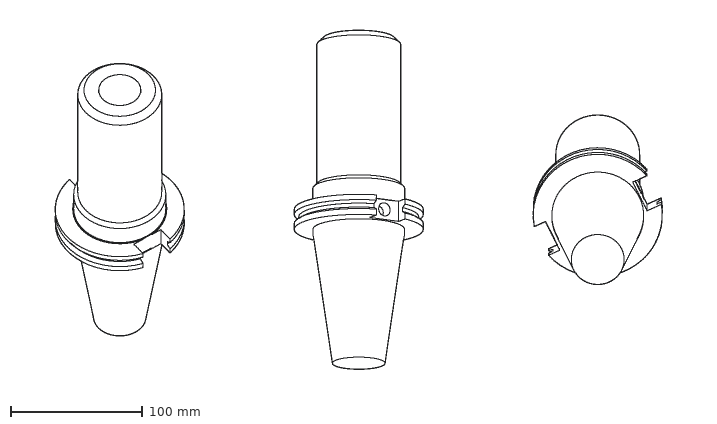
import cadquery as cq
import math

total_height = 254.0
gauge_height = 101.5
gauge_diameter = 69.8
gauge_radius = gauge_diameter / 2
taper_ratio = 7 / 24
taper_tip_radius = gauge_radius - gauge_height * taper_ratio / 2

flange_diameter = 98.3
flange_radius = flange_diameter / 2
flange_bottom = 104.6
flange_top = 120.5
groove_floor_radius = 45.7
groove_floor_bottom = 111.3
groove_floor_top = 114.3
groove_flank_angle = 30.0
groove_depth = flange_radius - groove_floor_radius
groove_flank_height = groove_depth * math.tan(math.radians(groove_flank_angle))

base_ring_radius = 35.8
base_ring_height = 0.5
collar_radius = 35.0
collar_top = 139.7
nose_radius = 32.0
collar_chamfer = collar_radius - nose_radius
nose_chamfer = 4.8

bore_radius = 16.0
bore_depth = 76.2

slot_width = 25.5
left_slot_floor = 38.0
right_slot_floor = 35.5
side_hole_radius = 5.0
side_hole_depth = 10.2
side_hole_height = (flange_bottom + flange_top) / 2


def turned_body():
    """Revolve the half outline (radius, height) about the Z axis."""
    outline = [
        (0, 0),
        (taper_tip_radius, 0),
        (gauge_radius, gauge_height),
        (gauge_radius, flange_bottom),
        (flange_radius, flange_bottom),
        (flange_radius, groove_floor_bottom - groove_flank_height),
        (groove_floor_radius, groove_floor_bottom),
        (groove_floor_radius, groove_floor_top),
        (flange_radius, groove_floor_top + groove_flank_height),
        (flange_radius, flange_top),
        (base_ring_radius, flange_top),
        (base_ring_radius, flange_top + base_ring_height),
        (collar_radius, flange_top + base_ring_height),
        (collar_radius, collar_top - collar_chamfer),
        (nose_radius, collar_top),
        (nose_radius, total_height - nose_chamfer),
        (nose_radius - nose_chamfer, total_height),
        (0, total_height),
    ]
    return cq.Workplane("XZ").polyline(outline).close().revolve(360, (0, 0), (0, 1))


def bore():
    return cq.Workplane("XY", origin=(0, 0, total_height)).circle(bore_radius).extrude(-bore_depth)


def drive_slot(side, floor_distance):
    """Block cut through the flange; side is -1 for the -X slot and +1 for the +X slot."""
    slot_depth = flange_radius - floor_distance
    slot_center = side * (floor_distance + slot_depth / 2)
    return (
        cq.Workplane("XY", origin=(slot_center, 0, flange_bottom))
        .rect(slot_depth, slot_width)
        .extrude(flange_top + base_ring_height - flange_bottom)
    )


def side_hole():
    return (
        cq.Workplane("YZ", origin=(-left_slot_floor, 0, side_hole_height))
        .circle(side_hole_radius)
        .extrude(side_hole_depth)
    )


result = (
    turned_body()
    .cut(bore())
    .cut(drive_slot(-1, left_slot_floor))
    .cut(drive_slot(1, right_slot_floor))
    .cut(side_hole())
)